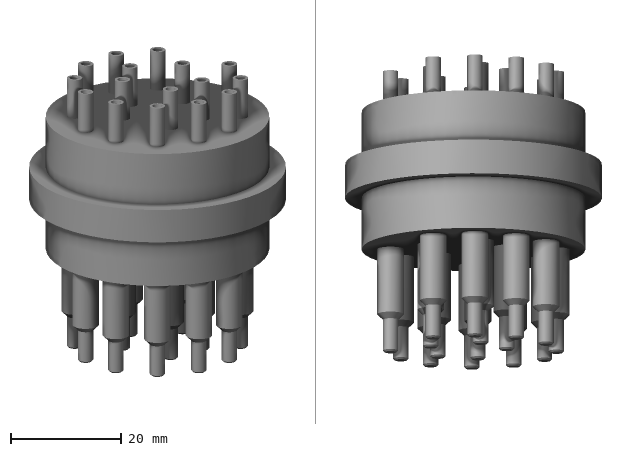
import cadquery as cq
import math

total_height = 51.8
shoulder_start = 6.0
body_bottom = 19.0
flange_bottom = 28.5
flange_top = 34.7
body_top = 44.4

body_diameter = 40.5
flange_diameter = 46.5

pin_diameter = 2.8
sleeve_diameter = 4.8
cup_bore_diameter = 1.8
cup_bore_depth = total_height - body_top
tip_chamfer = 0.3
shoulder_chamfer = (sleeve_diameter - pin_diameter) / 2

ring_radius = 15.0
ring_places = 12
empty_place = 3
inner_top_y = 9.0
upper_pair = (7.5, 3.0)
lower_pair = (5.0, -4.0)


def cylinder(diameter, bottom, top):
    """Cylinder about Z between two levels."""
    return cq.Workplane("XY").workplane(offset=bottom).circle(diameter / 2).extrude(top - bottom)


def contact_positions():
    """Centres of all contacts in the XY plane."""
    ring = []
    for place in range(ring_places):
        if place != empty_place:
            angle = 2 * math.pi * place / ring_places
            ring.append((ring_radius * math.cos(angle), ring_radius * math.sin(angle)))
    inner = [(0, inner_top_y)]
    for side in (-1, 1):
        for x, y in (upper_pair, lower_pair):
            inner.append((side * x, y))
    return ring + inner


def make_body():
    """Round insulator with its mounting flange."""
    body = cylinder(body_diameter, body_bottom, body_top)
    return body.union(cylinder(flange_diameter, flange_bottom, flange_top))


def make_contact():
    """One contact on the Z axis, running the full height of the part."""
    pin = cylinder(pin_diameter, 0, total_height).faces("<Z").chamfer(tip_chamfer)
    sleeve = cylinder(sleeve_diameter, shoulder_start, body_bottom).faces("<Z").chamfer(shoulder_chamfer)
    bore = cylinder(cup_bore_diameter, total_height - cup_bore_depth, total_height)
    return pin.union(sleeve).cut(bore)


contact = make_contact()
result = make_body()
for x, y in contact_positions():
    result = result.union(contact.translate((x, y, 0)))